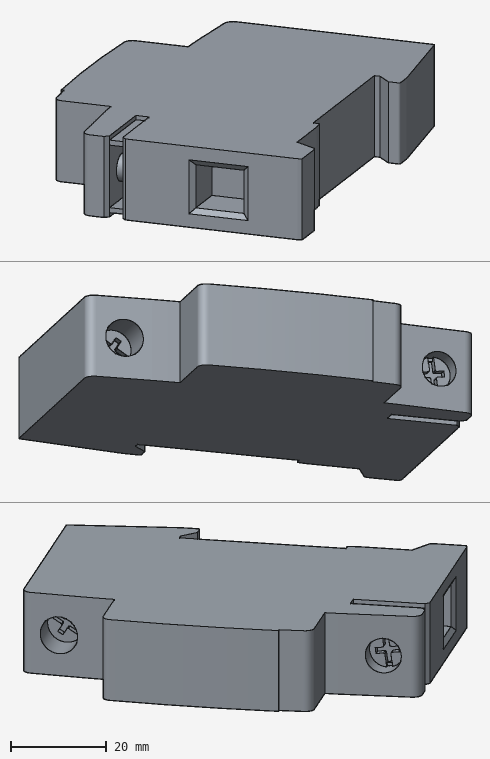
import cadquery as cq

WIDTH = 64.8
LENGTH = 85.0
THICKNESS = 17.8
MID_HEIGHT = THICKNESS / 2

SHOULDER_X = 14.3
SHOULDER_BEND_X = 14.4
SHOULDER_END_X = 15.55
NOSE_BOTTOM_Y = 20.15
NOSE_TOP_Y = 65.0
LOWER_BEND_Y = 17.3
UPPER_BEND_Y = 67.75
UPPER_TAPER_X = 14.5
UPPER_TAPER_Y = 71.1
SHOULDER_RADIUS = 2.0
NOSE_RADIUS = 1.95
NOSE_CROWN_Y = LENGTH / 2
CROWN_LOWER_END = (0.4, 27.2)
CROWN_UPPER_END = (0.8, NOSE_TOP_Y)
NOSE_STEP_X = 1.0
NOSE_FOOT_X = 1.5

RAIL_X = 57.9
RAIL_BOTTOM_Y = 24.6
RAIL_TOP_Y = 60.1
HOOK_ROOT_X = 59.2
HOOK_TIP_X = 62.1
HOOK_BOTTOM_Y = 57.1
HOOK_TOP_Y = 61.0
BACK_TOP_X = 61.8
LATCH_X = 59.6
LATCH_TOP_X = 59.3
LATCH_BEND_Y = 22.1
FOOT_INNER_Y = 10.8
FOOT_OUTER_Y = 7.9
FOOT_RADIUS = 1.3
SMALL_RADIUS = 0.4
CORNER_CUT_X = 0.9
CORNER_CUT_Y = 0.25

SLOT_X = 21.4
SLOT_WIDTH = 3.0
SLOT_TOP_Y = 16.15
SLOT_MOUTH_DEPTH = 0.85
SLOT_MOUTH_FLARE = 0.9
SIDE_GROOVE_DEPTH = 0.9
SLOT_WALL_OFFSET = 2.0

LOWER_SCREW_Y = 7.8
UPPER_SCREW_Y = 77.0
LOWER_HOLE_DIAMETER = 7.6
UPPER_HOLE_DIAMETER = 8.1
LOWER_HEAD_X = 19.1
UPPER_HEAD_X = 22.95
LOWER_DRIVE_ANGLE = 82.0
UPPER_DRIVE_ANGLE = 32.0
SHAFT_DIAMETER = 5.95
DRIVE_WIDTH = 1.3
LONG_ARM = 6.1
SHORT_ARM = 5.0
DRIVE_CORE = 2.1
DRIVE_SLOT_DEPTH = 0.85
CROSS_DEPTH = 1.7

WINDOW_X = 46.11
WINDOW_WIDTH = 13.2
WINDOW_HEIGHT = 11.8
WINDOW_BEVEL = 1.2
WINDOW_BEVEL_DEPTH = 0.85
WINDOW_DEPTH = 10.2


def round_corner(solid, x, y, radius):
    """Round the edge along Z that passes closest to (x, y)."""
    edge = cq.selectors.NearestToPointSelector((x, y, MID_HEIGHT))
    return solid.edges("|Z").edges(edge).fillet(radius)


def make_body():
    """Module profile extruded through the thickness, with its corners rounded."""
    body = (
        cq.Workplane("XY")
        .moveTo(SHOULDER_END_X, 0)
        .lineTo(WIDTH - CORNER_CUT_X, 0)
        .lineTo(WIDTH, CORNER_CUT_Y)
        .lineTo(WIDTH, FOOT_OUTER_Y)
        .lineTo(LATCH_X, FOOT_INNER_Y)
        .lineTo(LATCH_X, LATCH_BEND_Y)
        .lineTo(LATCH_TOP_X, RAIL_BOTTOM_Y)
        .lineTo(RAIL_X, RAIL_BOTTOM_Y)
        .lineTo(RAIL_X, RAIL_TOP_Y)
        .lineTo(HOOK_ROOT_X, RAIL_TOP_Y)
        .lineTo(HOOK_TIP_X, HOOK_BOTTOM_Y)
        .lineTo(WIDTH, HOOK_BOTTOM_Y)
        .lineTo(WIDTH, HOOK_TOP_Y)
        .lineTo(BACK_TOP_X, LENGTH)
        .lineTo(SHOULDER_END_X, LENGTH)
        .lineTo(UPPER_TAPER_X, UPPER_TAPER_Y)
        .lineTo(SHOULDER_BEND_X, UPPER_BEND_Y)
        .lineTo(SHOULDER_X, NOSE_TOP_Y)
        .lineTo(*CROWN_UPPER_END)
        .threePointArc((0, NOSE_CROWN_Y), CROWN_LOWER_END)
        .lineTo(NOSE_STEP_X, CROWN_LOWER_END[1])
        .lineTo(NOSE_FOOT_X, NOSE_BOTTOM_Y)
        .lineTo(SHOULDER_X, NOSE_BOTTOM_Y)
        .lineTo(SHOULDER_BEND_X, LOWER_BEND_Y)
        .close()
        .extrude(THICKNESS)
    )
    rounded_corners = [
        (SHOULDER_END_X, 0, SHOULDER_RADIUS),
        (SHOULDER_END_X, LENGTH, SHOULDER_RADIUS),
        (*CROWN_UPPER_END, NOSE_RADIUS),
        (NOSE_FOOT_X, NOSE_BOTTOM_Y, NOSE_RADIUS),
        (WIDTH, FOOT_OUTER_Y, FOOT_RADIUS),
        (WIDTH, HOOK_BOTTOM_Y, SMALL_RADIUS),
        (BACK_TOP_X, LENGTH, SMALL_RADIUS),
        (LATCH_TOP_X, RAIL_BOTTOM_Y, SMALL_RADIUS),
    ]
    for x, y, radius in rounded_corners:
        body = round_corner(body, x, y, radius)
    return body


def x_cylinder(start_x, y, diameter, length):
    """Cylinder along +X at mid thickness."""
    return (
        cq.Workplane("YZ", origin=(start_x, y, MID_HEIGHT)).circle(diameter / 2).extrude(length)
    )


def slot_block(bottom_z, height):
    """Slot cut of the given height along Z, open at the bottom end of the module."""
    block = cq.Workplane("XY").box(SLOT_WIDTH, SLOT_TOP_Y, height, centered=False)
    return block.translate((SLOT_X, 0, bottom_z))


def cut_slot(body):
    """Flared mouth, a shallow groove on both sides, and a deep slot crossed by the screw shaft."""
    slot_end_x = SLOT_X + SLOT_WIDTH
    mouth = (
        cq.Workplane("XY")
        .polyline([
            (SLOT_X - SLOT_MOUTH_FLARE, 0),
            (slot_end_x + SLOT_MOUTH_FLARE, 0),
            (slot_end_x, SLOT_MOUTH_DEPTH),
            (SLOT_X, SLOT_MOUTH_DEPTH),
        ])
        .close()
        .extrude(THICKNESS)
    )
    lower_groove = slot_block(0, SIDE_GROOVE_DEPTH)
    upper_groove = slot_block(THICKNESS - SIDE_GROOVE_DEPTH, SIDE_GROOVE_DEPTH)
    deep_slot = slot_block(SLOT_WALL_OFFSET, THICKNESS - 2 * SLOT_WALL_OFFSET)
    shaft = x_cylinder(SLOT_X, LOWER_SCREW_Y, SHAFT_DIAMETER, SLOT_WIDTH)
    return body.cut(mouth).cut(lower_groove).cut(upper_groove).cut(deep_slot.cut(shaft))


def cut_screw(body, y, hole_diameter, head_x, drive_angle):
    """Access hole down to a screw head that has a driver slot and a deeper cross recess."""
    hole = x_cylinder(0, y, hole_diameter, head_x)
    head = cq.Workplane("YZ", origin=(head_x, y, MID_HEIGHT))
    drive_slot = head.rect(hole_diameter, DRIVE_WIDTH).extrude(DRIVE_SLOT_DEPTH)
    drive_slot = drive_slot.intersect(x_cylinder(head_x, y, hole_diameter, DRIVE_SLOT_DEPTH))
    long_arm = head.rect(LONG_ARM, DRIVE_WIDTH).extrude(CROSS_DEPTH)
    short_arm = head.rect(DRIVE_WIDTH, SHORT_ARM).extrude(CROSS_DEPTH)
    core = head.transformed(rotate=(0, 0, 45)).rect(DRIVE_CORE, DRIVE_CORE).extrude(CROSS_DEPTH)
    drive = drive_slot.union(long_arm).union(short_arm).union(core)
    drive = drive.rotate((0, y, MID_HEIGHT), (1, y, MID_HEIGHT), drive_angle)
    return body.cut(hole).cut(drive)


def cut_window(body):
    """Rectangular terminal pocket with a bevelled entry."""
    inner_width = WINDOW_WIDTH - 2 * WINDOW_BEVEL
    inner_height = WINDOW_HEIGHT - 2 * WINDOW_BEVEL
    entry = (
        cq.Workplane("XZ", origin=(WINDOW_X, 0, MID_HEIGHT))
        .rect(WINDOW_WIDTH, WINDOW_HEIGHT)
        .workplane(offset=-WINDOW_BEVEL_DEPTH)
        .rect(inner_width, inner_height)
        .loft(ruled=True)
    )
    pocket = (
        cq.Workplane("XZ", origin=(WINDOW_X, 0, MID_HEIGHT))
        .rect(inner_width, inner_height)
        .extrude(-WINDOW_DEPTH)
    )
    return body.cut(entry).cut(pocket)


result = make_body()
result = cut_slot(result)
result = cut_screw(result, LOWER_SCREW_Y, LOWER_HOLE_DIAMETER, LOWER_HEAD_X, LOWER_DRIVE_ANGLE)
result = cut_screw(result, UPPER_SCREW_Y, UPPER_HOLE_DIAMETER, UPPER_HEAD_X, UPPER_DRIVE_ANGLE)
result = cut_window(result)